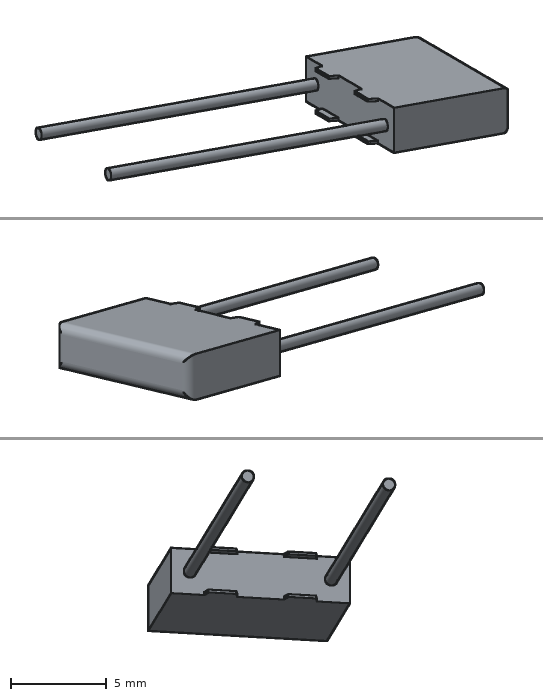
import cadquery as cq


total_length = 23.5

housing_width = 9.5
housing_length = 7.0
housing_height = 2.5
end_fillet = 0.52

tab_spacing = 4.23
tab_root_width = 1.76
tab_tip_width = 1.45
tab_length = 0.5
tab_thickness = 0.153

lead_diameter = 0.65
lead_spacing = 7.5
lead_length = total_length - housing_length


def make_tab(x_center, z_bottom):
    """Tapered tab standing on the lead-exit face, pointing toward -Y."""
    return (
        cq.Workplane("XY", origin=(x_center, 0, z_bottom))
        .moveTo(-tab_root_width / 2, 0)
        .lineTo(-tab_tip_width / 2, -tab_length)
        .lineTo(tab_tip_width / 2, -tab_length)
        .lineTo(tab_root_width / 2, 0)
        .close()
        .extrude(tab_thickness)
    )


def make_housing():
    """Block with its closed end rounded on all four edges, plus four tabs."""
    body = (
        cq.Workplane("XY")
        .box(housing_width, housing_length, housing_height, centered=(True, False, True))
        .faces(">Y")
        .edges()
        .fillet(end_fillet)
    )
    lower_tab_bottom = -housing_height / 2
    upper_tab_bottom = housing_height / 2 - tab_thickness
    for x_center in (-tab_spacing / 2, tab_spacing / 2):
        for z_bottom in (lower_tab_bottom, upper_tab_bottom):
            body = body.union(make_tab(x_center, z_bottom))
    return body


def make_lead(x_center):
    """Round wire that starts on the lead-exit face and runs toward -Y."""
    return cq.Workplane("XZ").center(x_center, 0).circle(lead_diameter / 2).extrude(lead_length)


housing = make_housing()
leads = [make_lead(x_center) for x_center in (-lead_spacing / 2, lead_spacing / 2)]

result = cq.Compound.makeCompound([housing.val(), *[lead.val() for lead in leads]])